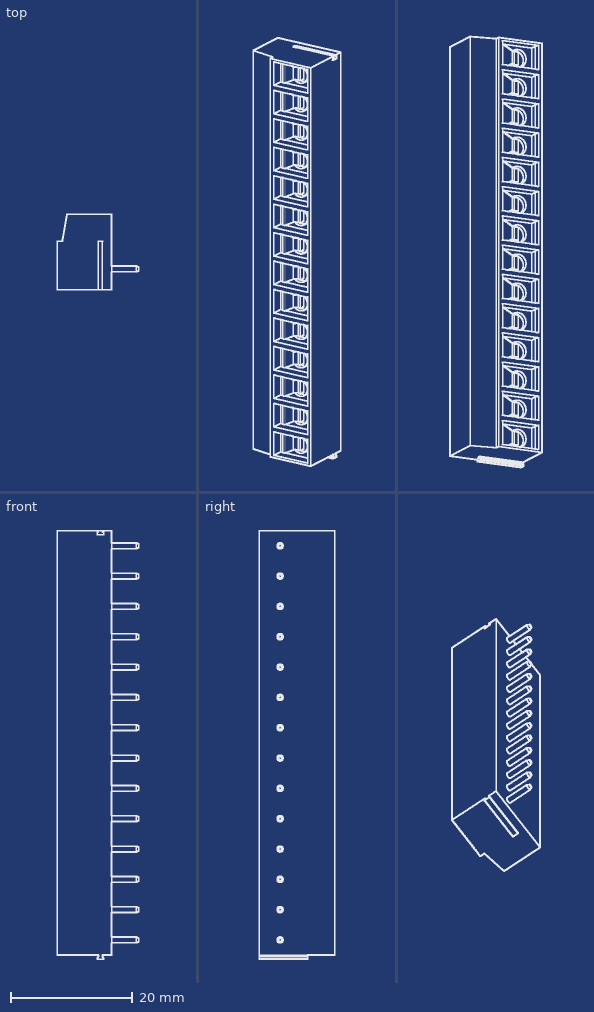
import cadquery as cq
import math

POLES = 14
TOTAL_HEIGHT = 70.7
RAIL_HEIGHT = 0.7
BODY_HEIGHT = TOTAL_HEIGHT - RAIL_HEIGHT
PITCH = BODY_HEIGHT / POLES
BODY_DEPTH = 9.0
BODY_WIDTH = 12.5

STEP_Y = 8.05
STEP_DEPTH = 0.85
TOP_SETBACK = 1.6

RAIL_X = 7.15
NECK_WIDTH = 0.65
NECK_LENGTH = 0.2
FLANGE_WIDTH = 1.05
RAIL_FLANGE_START = 0.5
GROOVE_FLANGE_START = 0.25

PIN_Y = 3.45
PIN_DIAMETER = 1.0
PIN_LENGTH = 4.5
PIN_TIP_DIAMETER = 0.6
PIN_TIP_LENGTH = 0.4

POCKET_Y_MIN = 0.65
POCKET_Y_MAX = 7.3
POCKET_HEIGHT = 4.1
POCKET_DEPTH = 2.0
BEVEL_WIDTH = 0.3
BEVEL_DEPTH = 0.7

HOLE_RADIUS = 1.5
HOLE_DEPTH = 1.0

PLATE_THICKNESS = 0.2
PLATE_BACK_Y = 6.85
PLATE_BEND_Y = 6.35
TONGUE_START_Y = 4.6
TONGUE_VALLEY_Y = 4.0
TONGUE_END_Y = 3.4
TONGUE_WIDTH = 2.2
BACK_ANGLE = 16.0
TONGUE_DOWN_ANGLE = 42.0
TONGUE_UP_ANGLE = 26.0


def make_body():
    """Housing cross-section with the stepped, sloping entry side, extruded along Z."""
    outline = [
        (0, 0),
        (BODY_DEPTH, 0),
        (BODY_DEPTH, BODY_WIDTH),
        (TOP_SETBACK, BODY_WIDTH),
        (STEP_DEPTH, STEP_Y),
        (0, STEP_Y),
    ]
    return cq.Workplane("XY").polyline(outline).close().extrude(BODY_HEIGHT)


def make_flanged_bar(neck_z, flange_start):
    """Bar along Y that hangs from neck_z and flares from its neck to a wide flange below."""
    neck_end_z = neck_z - NECK_LENGTH
    flange_z = neck_z - flange_start
    bottom_z = neck_z - RAIL_HEIGHT
    profile = [
        (NECK_WIDTH / 2, neck_z),
        (NECK_WIDTH / 2, neck_end_z),
        (FLANGE_WIDTH / 2, flange_z),
        (FLANGE_WIDTH / 2, bottom_z),
        (-FLANGE_WIDTH / 2, bottom_z),
        (-FLANGE_WIDTH / 2, flange_z),
        (-NECK_WIDTH / 2, neck_end_z),
        (-NECK_WIDTH / 2, neck_z),
    ]
    bar = cq.Workplane("XZ", origin=(RAIL_X, 0, 0)).polyline(profile).close()
    return bar.extrude(-STEP_Y)


def make_pocket():
    """Pocket volume centred on Z = 0, with a bevel on the outer side of its mouth."""
    outline = [
        (0, POCKET_Y_MIN),
        (0, POCKET_Y_MAX),
        (POCKET_DEPTH, POCKET_Y_MAX),
        (POCKET_DEPTH, POCKET_Y_MIN + BEVEL_WIDTH),
        (BEVEL_DEPTH, POCKET_Y_MIN + BEVEL_WIDTH),
    ]
    pocket = cq.Workplane("XY").polyline(outline).close().extrude(POCKET_HEIGHT / 2, both=True)
    hole = (
        cq.Workplane("YZ", origin=(POCKET_DEPTH, PIN_Y, 0))
        .circle(HOLE_RADIUS)
        .extrude(HOLE_DEPTH)
    )
    return pocket.union(hole)


def make_clamp():
    """Plate that tapers towards the hole and ends in a V-bent tongue inside it."""
    plate_x = POCKET_DEPTH - PLATE_THICKNESS
    hole_x = POCKET_DEPTH + HOLE_DEPTH
    back_drop = (PLATE_BACK_Y - PLATE_BEND_Y) * math.tan(math.radians(BACK_ANGLE))
    valley_drop = (TONGUE_START_Y - TONGUE_VALLEY_Y) * math.tan(math.radians(TONGUE_DOWN_ANGLE))
    end_rise = (TONGUE_VALLEY_Y - TONGUE_END_Y) * math.tan(math.radians(TONGUE_UP_ANGLE))
    side_profile = [
        (hole_x, PLATE_BACK_Y),
        (plate_x + back_drop, PLATE_BACK_Y),
        (plate_x, PLATE_BEND_Y),
        (plate_x, TONGUE_START_Y),
        (plate_x + valley_drop, TONGUE_VALLEY_Y),
        (plate_x + valley_drop - end_rise, TONGUE_END_Y),
        (hole_x, TONGUE_END_Y),
    ]
    face_outline = [
        (PLATE_BACK_Y, POCKET_HEIGHT / 2),
        (PLATE_BEND_Y, POCKET_HEIGHT / 2),
        (TONGUE_START_Y, TONGUE_WIDTH / 2),
        (TONGUE_END_Y, TONGUE_WIDTH / 2),
        (TONGUE_END_Y, -TONGUE_WIDTH / 2),
        (TONGUE_START_Y, -TONGUE_WIDTH / 2),
        (PLATE_BEND_Y, -POCKET_HEIGHT / 2),
        (PLATE_BACK_Y, -POCKET_HEIGHT / 2),
    ]
    bent = cq.Workplane("XY").polyline(side_profile).close().extrude(POCKET_HEIGHT / 2, both=True)
    tapered = cq.Workplane("YZ").polyline(face_outline).close().extrude(hole_x)
    return bent.intersect(tapered)


def make_pin():
    """Round pin with a tapered tip, turned about its own axis at Z = 0."""
    half_profile = [
        (0, 0),
        (PIN_LENGTH, 0),
        (PIN_LENGTH, PIN_TIP_DIAMETER / 2),
        (PIN_LENGTH - PIN_TIP_LENGTH, PIN_DIAMETER / 2),
        (0, PIN_DIAMETER / 2),
    ]
    pin = cq.Workplane("XY", origin=(BODY_DEPTH, PIN_Y, 0)).polyline(half_profile).close()
    return pin.revolve(360, (0, 0, 0), (1, 0, 0))


result = make_body()
result = result.cut(make_flanged_bar(BODY_HEIGHT, GROOVE_FLANGE_START))
result = result.union(make_flanged_bar(0, RAIL_FLANGE_START))

cavity = make_pocket().cut(make_clamp())
pin = make_pin()
for pole in range(POLES):
    pole_z = PITCH / 2 + pole * PITCH
    result = result.cut(cavity.translate((0, 0, pole_z)))
    result = result.union(pin.translate((0, 0, pole_z)))